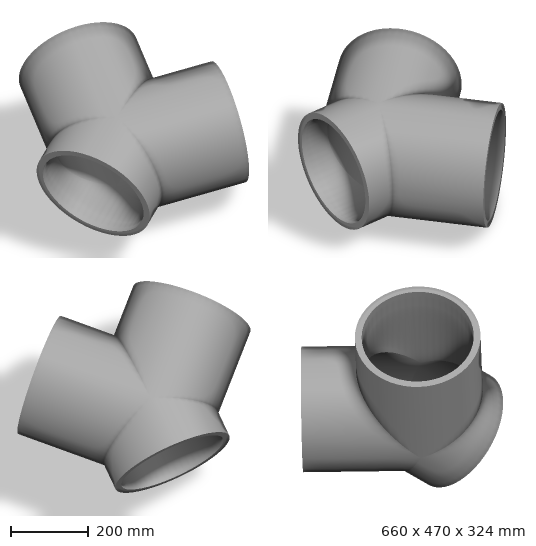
import cadquery as cq
import math

overall_width = 660.0
outer_diameter = 324.0
inner_diameter = 289.0
inlet_length = 140.0
branch_angle = 45.0

tilt = math.radians(branch_angle)
branch_length = (overall_width / 2 - outer_diameter / 2 * math.cos(tilt)) / math.sin(tilt)

legs = [
    (cq.Vector(0, -1, 0), inlet_length),
    (cq.Vector(math.sin(tilt), math.cos(tilt), 0), branch_length),
    (cq.Vector(-math.sin(tilt), math.cos(tilt), 0), branch_length),
]


def joined_cylinders(diameter):
    """Union of one cylinder per leg, each starting at the common axis point."""
    cylinders = [
        cq.Solid.makeCylinder(diameter / 2, length, cq.Vector(0, 0, 0), direction)
        for direction, length in legs
    ]
    return cq.Workplane("XY").newObject(cylinders).combine()


result = joined_cylinders(outer_diameter).cut(joined_cylinders(inner_diameter))